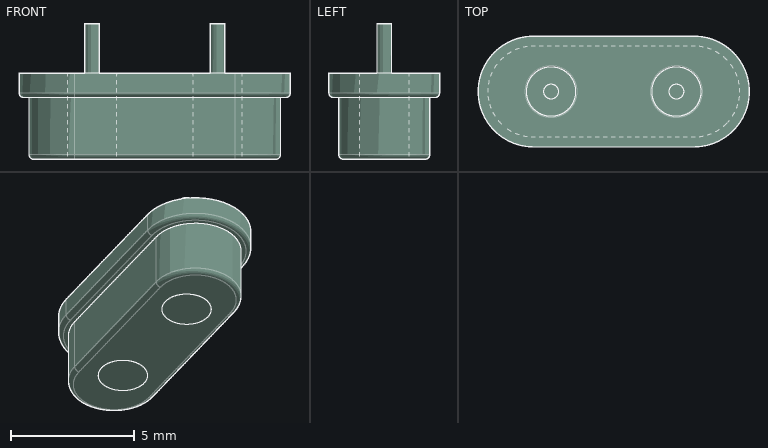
import cadquery as cq

straight_length = 6.5
flange_width = 4.5
flange_thickness = 1.0
flange_overhang = 0.4
body_width = flange_width - 2 * flange_overhang
body_height = 2.5
rim_radius = 0.2

flange_bottom = body_height
flange_top = flange_bottom + flange_thickness

pin_pitch = 5.08
pin_positions = [(-pin_pitch / 2, 0), (pin_pitch / 2, 0)]
contact_diameter = 2.0
stem_diameter = 0.6
stem_height = 2.0
bore_mouth_radius = 0.05


def rounded_slab(width, thickness, bottom):
    """Stadium-shaped slab with its bottom rim rounded."""
    slab = (
        cq.Workplane("XY", origin=(0, 0, bottom))
        .slot2D(straight_length + width, width)
        .extrude(thickness)
    )
    return slab.faces("<Z").edges().fillet(rim_radius)


def make_housing():
    """Body and flange in one piece, with a through bore for each contact."""
    body = rounded_slab(body_width, body_height, 0)
    flange = rounded_slab(flange_width, flange_thickness, flange_bottom)
    bores = (
        cq.Workplane("XY")
        .pushPoints(pin_positions)
        .circle(contact_diameter / 2)
        .extrude(flange_top)
    )
    bored = body.union(flange).cut(bores)
    bore_mouths = bored.faces(">Z").edges(cq.selectors.RadiusNthSelector(0))
    return bore_mouths.fillet(bore_mouth_radius)


def make_pin(position):
    """Contact filling its bore flush with both faces, with the stem rising from its top."""
    x, y = position
    contact = (
        cq.Workplane("XY", origin=(x, y, 0))
        .circle(contact_diameter / 2)
        .extrude(flange_top)
    )
    return contact.faces(">Z").workplane().circle(stem_diameter / 2).extrude(stem_height)


housing = make_housing()
pins = [make_pin(position) for position in pin_positions]

result = cq.Compound.makeCompound([housing.val(), *[pin.val() for pin in pins]])